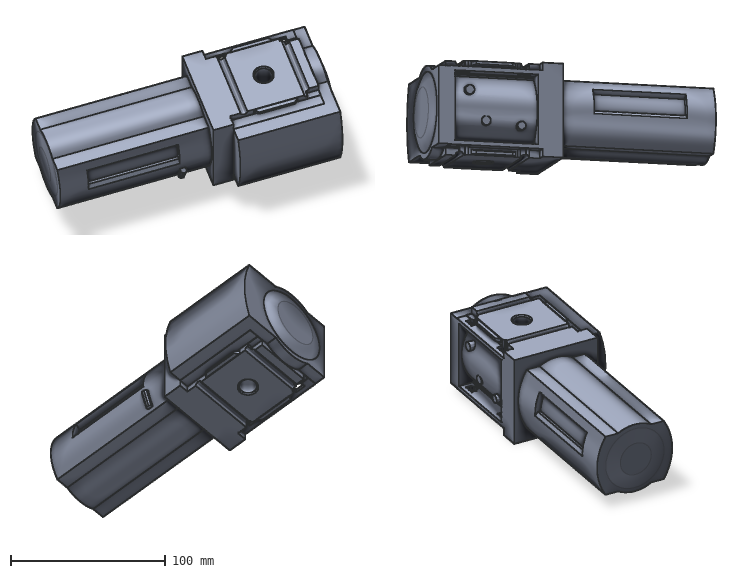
import cadquery as cq
import math


TOTAL_LENGTH = 192
TOTAL_WIDTH = 75.8

BODY_SIZE = 62.0
HALF = BODY_SIZE / 2
FLANGE_BACK = 13.8
CORE_HALF_HEIGHT = 25.7
CORE_BACK = 84.0
LEDGE_HEIGHT = 26.0
SIDE_BOSS_EDGE = 40.3
SIDE_BOSS_CROWN = TOTAL_WIDTH - HALF

PAD_HALF_WIDTH = 24.0
PAD_BACK = 76.0
CORNER_HALF_WIDTH = 19.8
CORNER_FRONT = 67.2
CORNER_FLOOR = 26.3
GROOVE_RADIUS = 2.3
GROOVE_PLACES = (23.5, CORNER_FRONT)

WING_CENTER = 45.1
WING_REACH = 2.9
WING_ROOT_LENGTH = 30.0
WING_TIP_LENGTH = 24.5
WING_TOP = 30.5
WING_ROOT_BOTTOM = 27.5
WING_TIP_BOTTOM = 28.6

NOTCH_PLACES = (24.8, 65.9)
NOTCH_OUTER_X = -27.6
NOTCH_NECK_X = -23.0
NOTCH_INNER_X = -22.0
NOTCH_HALF_LENGTH = 3.8
NOTCH_NECK_HALF_LENGTH = 2.0

PORT_DIAMETER = 11.5
PORT_DEPTH = 17.3
PORT_CHAMFER = 1.0

HUMP_TOP = 30.5
HUMP_HALF_WIDTH = 15.0
DOME_RADIUS = 26.5
DOME_FLAT_RADIUS = 16.5
DOME_MID = (22.0, 86.0)
DOME_BACK = 87.0

WINDOW_FRONT = 16.9
WINDOW_BACK = 73.0
WINDOW_HALF_HEIGHT = 23.0
WINDOW_FLOOR_X = -20.0
WINDOW_FLOOR_CHAMFER = 0.8
BARREL_RADIUS = 29.0
PIN_ROOT_X = WINDOW_FLOOR_X - 2
PINS = (
    (62.5, 11.0, 6.1, -30.1),
    (51.0, -8.6, 6.1, -28.5),
    (27.6, -11.1, 5.5, -30.1),
)

SLEEVE_FRONT = -103.9
SLEEVE_HALF_WIDTH = 28.0
SLEEVE_CORNER_X = 21.7
SLEEVE_FLAT_Z = 21.5
SLEEVE_HUMP_RADIUS = 24.8
TIP_FRONT = DOME_BACK - TOTAL_LENGTH
TIP_BASE_RADIUS = 21.7
TIP_FLAT_RADIUS = 11.5

SLOT_BACK = -21.9
SLOT_FRONT = -84.5
SLOT_TOP = 16.1
SLOT_INNER_TOP = 13.5
SLOT_INNER_BOTTOM = 2.0
SLOT_LIP_X = -25.7
SLOT_DEPTH = 4.2

CATCH_BACK = -17.7
CATCH_FRONT = -21.7
CATCH_CHAMFER = 1.2
CATCH_OUTER_TOP = (30.5, -8.5)
CATCH_OUTER_BOTTOM = (26.1, -20.2)
CATCH_THICKNESS = 3.8


def box(x_range, y_range, z_range):
    """Box between the given pairs of limits."""
    size = [high - low for low, high in (x_range, y_range, z_range)]
    return cq.Workplane("XY").box(*size, centered=False).translate(
        (x_range[0], y_range[0], z_range[0])
    )


def xz_plane(y):
    """Workplane across Y with its local axes along X and Z; positive extrusion goes to -Y."""
    return cq.Workplane("XZ", origin=(0, y, 0))


def both_z(shape):
    """The shape together with its mirror image below the XY plane."""
    return shape.union(shape.mirror("XY"))


def both_x(shape):
    """The shape together with its mirror image across the YZ plane."""
    return shape.union(shape.mirror("YZ"))


def housing():
    core = (
        xz_plane(CORE_BACK)
        .moveTo(-HALF, -CORE_HALF_HEIGHT)
        .lineTo(SIDE_BOSS_EDGE, -CORE_HALF_HEIGHT)
        .threePointArc((SIDE_BOSS_CROWN, 0), (SIDE_BOSS_EDGE, CORE_HALF_HEIGHT))
        .lineTo(-HALF, CORE_HALF_HEIGHT)
        .close()
        .extrude(CORE_BACK - FLANGE_BACK)
    )
    flange = box((-HALF, HALF), (0, FLANGE_BACK), (-HALF, HALF))
    ledges = box((-HALF, HALF), (FLANGE_BACK, PAD_BACK), (-LEDGE_HEIGHT, LEDGE_HEIGHT))
    return core.union(flange).union(ledges)


def rear_cap():
    hump = (
        xz_plane(CORE_BACK)
        .moveTo(-HUMP_HALF_WIDTH, 0)
        .lineTo(-HUMP_HALF_WIDTH, CORE_HALF_HEIGHT)
        .threePointArc((0, HUMP_TOP), (HUMP_HALF_WIDTH, CORE_HALF_HEIGHT))
        .lineTo(HUMP_HALF_WIDTH, 0)
        .close()
        .extrude(CORE_BACK - PAD_BACK)
    )
    dome = (
        cq.Workplane("XY")
        .moveTo(0, CORE_BACK)
        .lineTo(DOME_RADIUS, CORE_BACK)
        .threePointArc(DOME_MID, (DOME_FLAT_RADIUS, DOME_BACK))
        .lineTo(0, DOME_BACK)
        .close()
        .revolve(360, (0, 0, 0), (0, 1, 0))
    )
    return both_z(hump).union(dome)


def wing():
    """Wing on the -X flank of the top pad, tapering to its tip and undercut below."""
    root_x = -PAD_HALF_WIDTH
    tip_x = root_x - WING_REACH
    plan = (
        cq.Workplane("XY")
        .polyline([
            (root_x, WING_CENTER - WING_ROOT_LENGTH / 2),
            (tip_x, WING_CENTER - WING_TIP_LENGTH / 2),
            (tip_x, WING_CENTER + WING_TIP_LENGTH / 2),
            (root_x, WING_CENTER + WING_ROOT_LENGTH / 2),
        ])
        .close()
        .extrude(HALF)
    )
    profile = (
        xz_plane(PAD_BACK)
        .polyline([
            (root_x, WING_TOP),
            (tip_x, WING_TOP),
            (tip_x, WING_TIP_BOTTOM),
            (root_x, WING_ROOT_BOTTOM),
        ])
        .close()
        .extrude(PAD_BACK)
    )
    return plan.intersect(profile)


def top_pad():
    pad = box((-PAD_HALF_WIDTH, PAD_HALF_WIDTH), (FLANGE_BACK, PAD_BACK), (0, HALF))
    corner = box(
        (-PAD_HALF_WIDTH, -CORNER_HALF_WIDTH), (CORNER_FRONT, PAD_BACK), (CORNER_FLOOR, HALF)
    )
    pad = pad.cut(both_x(corner))
    for y in GROOVE_PLACES:
        groove = (
            cq.Workplane("YZ", origin=(-PAD_HALF_WIDTH, y, HALF))
            .circle(GROOVE_RADIUS)
            .extrude(2 * PAD_HALF_WIDTH)
        )
        pad = pad.cut(groove)
    return pad.union(both_x(wing()))


def port():
    """Blind port with a chamfered mouth in the top pad."""
    mouth_radius = PORT_DIAMETER / 2 + PORT_CHAMFER
    return (
        cq.Workplane("XZ", origin=(0, WING_CENTER, 0))
        .polyline([
            (0, HALF),
            (mouth_radius, HALF),
            (PORT_DIAMETER / 2, HALF - PORT_CHAMFER),
            (PORT_DIAMETER / 2, HALF - PORT_DEPTH),
            (0, HALF - PORT_DEPTH),
        ])
        .close()
        .revolve(360, (0, 0, 0), (0, 1, 0))
    )


def window():
    """Side window, less the inner barrel that stays standing in it."""
    opening = box(
        (-HALF, WINDOW_FLOOR_X),
        (WINDOW_FRONT, WINDOW_BACK),
        (-WINDOW_HALF_HEIGHT, WINDOW_HALF_HEIGHT),
    )
    opening = opening.edges("|Y and >X").chamfer(WINDOW_FLOOR_CHAMFER)
    barrel = xz_plane(WINDOW_BACK).circle(BARREL_RADIUS).extrude(WINDOW_BACK - WINDOW_FRONT)
    return opening.cut(barrel)


def clip_notch(y):
    """Notch from the top of the pad through the ledge into the window."""
    return (
        cq.Workplane("XY", origin=(0, y, WINDOW_HALF_HEIGHT))
        .polyline([
            (NOTCH_OUTER_X, -NOTCH_HALF_LENGTH),
            (-PAD_HALF_WIDTH, -NOTCH_HALF_LENGTH),
            (NOTCH_NECK_X, -NOTCH_NECK_HALF_LENGTH),
            (NOTCH_INNER_X, -NOTCH_NECK_HALF_LENGTH),
            (NOTCH_INNER_X, NOTCH_NECK_HALF_LENGTH),
            (NOTCH_NECK_X, NOTCH_NECK_HALF_LENGTH),
            (-PAD_HALF_WIDTH, NOTCH_HALF_LENGTH),
            (NOTCH_OUTER_X, NOTCH_HALF_LENGTH),
        ])
        .close()
        .extrude(HALF - WINDOW_HALF_HEIGHT)
    )


def pin(y, z, diameter, end_x):
    return (
        cq.Workplane("YZ", origin=(end_x, y, z)).circle(diameter / 2).extrude(PIN_ROOT_X - end_x)
    )


def sleeve():
    flanks = (
        xz_plane(0)
        .moveTo(-SLEEVE_CORNER_X, -SLEEVE_FLAT_Z)
        .lineTo(SLEEVE_CORNER_X, -SLEEVE_FLAT_Z)
        .threePointArc((SLEEVE_HALF_WIDTH, 0), (SLEEVE_CORNER_X, SLEEVE_FLAT_Z))
        .lineTo(-SLEEVE_CORNER_X, SLEEVE_FLAT_Z)
        .threePointArc((-SLEEVE_HALF_WIDTH, 0), (-SLEEVE_CORNER_X, -SLEEVE_FLAT_Z))
        .close()
        .extrude(-SLEEVE_FRONT)
    )
    humps = xz_plane(0).circle(SLEEVE_HUMP_RADIUS).extrude(-SLEEVE_FRONT)
    tip = (
        cq.Workplane("XY")
        .polyline([
            (0, SLEEVE_FRONT),
            (TIP_BASE_RADIUS, SLEEVE_FRONT),
            (TIP_FLAT_RADIUS, TIP_FRONT),
            (0, TIP_FRONT),
        ])
        .close()
        .revolve(360, (0, 0, 0), (0, 1, 0))
    )
    return flanks.union(humps).union(tip)


def grip_slot():
    """Slot in the -X flank; its floor follows the flank and its lower edge has a sloped lip."""
    sagitta = SLEEVE_HALF_WIDTH - SLEEVE_CORNER_X
    flank_radius = (SLEEVE_FLAT_Z**2 + sagitta**2) / (2 * sagitta)
    flank_center_x = flank_radius - SLEEVE_HALF_WIDTH

    def flank_x(z, depth):
        return flank_center_x - math.sqrt((flank_radius - depth) ** 2 - z**2)

    middle_z = (SLOT_INNER_TOP + SLOT_INNER_BOTTOM) / 2
    lip_drop = SLOT_LIP_X + HALF
    return (
        xz_plane(SLOT_BACK)
        .moveTo(-HALF, SLOT_TOP)
        .lineTo(flank_x(SLOT_TOP, 0), SLOT_TOP)
        .lineTo(flank_x(SLOT_INNER_TOP, SLOT_DEPTH), SLOT_INNER_TOP)
        .threePointArc(
            (flank_x(middle_z, SLOT_DEPTH), middle_z),
            (flank_x(SLOT_INNER_BOTTOM, SLOT_DEPTH), SLOT_INNER_BOTTOM),
        )
        .lineTo(SLOT_LIP_X, SLOT_INNER_BOTTOM)
        .lineTo(-HALF, SLOT_INNER_BOTTOM - lip_drop)
        .close()
        .extrude(SLOT_BACK - SLOT_FRONT)
    )


def catch():
    """Bar with a chamfered outer face, lying against the slope of the flank."""
    bottom_x, bottom_z = CATCH_OUTER_BOTTOM
    run_x = CATCH_OUTER_TOP[0] - bottom_x
    run_z = CATCH_OUTER_TOP[1] - bottom_z
    across_bar = cq.Plane(
        origin=(bottom_x, 0, bottom_z), xDir=(run_z, 0, -run_x), normal=(run_x, 0, run_z)
    )
    return (
        cq.Workplane(across_bar)
        .polyline([
            (-CATCH_THICKNESS, CATCH_BACK),
            (-CATCH_CHAMFER, CATCH_BACK),
            (0, CATCH_BACK - CATCH_CHAMFER),
            (0, CATCH_FRONT + CATCH_CHAMFER),
            (-CATCH_CHAMFER, CATCH_FRONT),
            (-CATCH_THICKNESS, CATCH_FRONT),
        ])
        .close()
        .extrude(math.hypot(run_x, run_z))
    )


result = housing().union(rear_cap()).union(both_z(top_pad()))
result = result.cut(both_z(port())).cut(window())
for notch_y in NOTCH_PLACES:
    result = result.cut(both_z(clip_notch(notch_y)))
for pin_y, pin_z, pin_diameter, pin_end_x in PINS:
    result = result.union(pin(pin_y, pin_z, pin_diameter, pin_end_x))
result = result.union(sleeve().cut(both_x(grip_slot()))).union(catch())